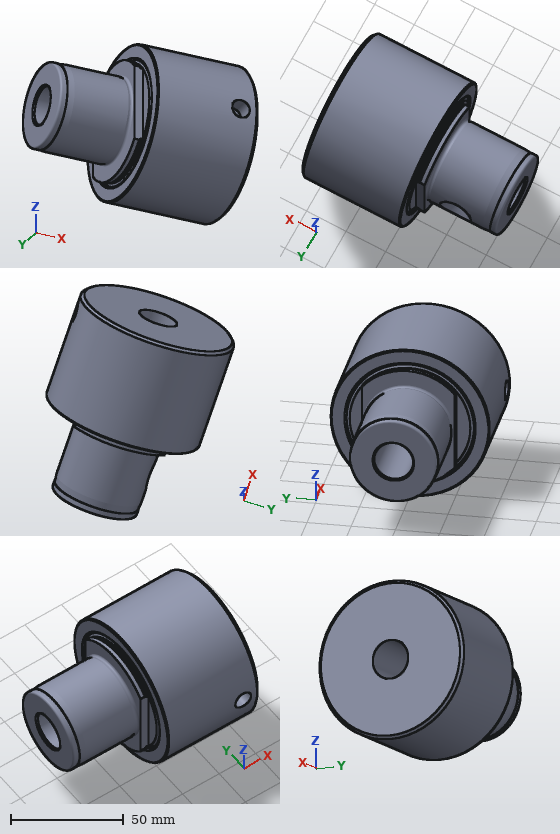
import cadquery as cq

total_length = 90.0
flange_start = 35.6
body_start = 40.0

body_radius = 36.0
flange_radius = 27.8
shank_radius = 20.0
bore_radius = 8.8

nose_radius = 19.8
nose_round = 1.0
land_end = 3.2
lead_in_start_radius = 19.6
lead_in_end = 6.75

shank_relief_start = 33.5
shank_relief_floor = 34.4
shank_relief_radius = 19.7
shank_root_radius = 20.6
root_arc_bias = 0.3

flange_relief_start = 38.1
flange_relief_floor = 39.1
flange_relief_radius = 27.3
face_relief_depth = 0.5
face_relief_inner_radius = 28.8
face_relief_outer_radius = 29.7

front_chamfer = 0.5
rear_chamfer = 1.35
bore_chamfer_width = 0.5
bore_chamfer_length = 0.9

flat_distance = 21.0

seat_x = 20.6
seat_radius = 7.8
seat_depth = seat_radius

pin_hole_x = 81.1
pin_hole_radius = 4.3
pin_hole_depth = 9.0


def make_shank():
    relief_arc_middle = (
        flange_start - root_arc_bias * (flange_start - shank_relief_floor),
        shank_relief_radius + root_arc_bias * (shank_root_radius - shank_relief_radius),
    )
    profile = (
        cq.Workplane("XY")
        .lineTo(0, nose_radius - nose_round)
        .radiusArc((nose_round, nose_radius), nose_round)
        .lineTo(land_end, nose_radius)
        .lineTo(land_end, lead_in_start_radius)
        .lineTo(lead_in_end, shank_radius)
        .lineTo(shank_relief_start, shank_radius)
        .lineTo(shank_relief_floor, shank_relief_radius)
        .threePointArc(relief_arc_middle, (flange_start, shank_root_radius))
        .lineTo(flange_start, 0)
        .close()
    )
    return profile.revolve(360, (0, 0, 0), (1, 0, 0))


def make_flange():
    relief_bottom = body_start + face_relief_depth
    profile = (
        cq.Workplane("XY")
        .moveTo(flange_start, 0)
        .lineTo(flange_start, flange_radius)
        .lineTo(flange_relief_start, flange_radius)
        .lineTo(flange_relief_floor, flange_relief_radius)
        .lineTo(relief_bottom, flange_relief_radius)
        .lineTo(relief_bottom, 0)
        .close()
    )
    flange = profile.revolve(360, (0, 0, 0), (1, 0, 0))
    flats = cq.Workplane("XY").box(
        body_start - flange_start, 2 * flat_distance, 2 * flange_radius, centered=(False, True, True)
    )
    return flange.intersect(flats.translate((flange_start, 0, 0)))


def make_body():
    body = cq.Workplane("YZ", origin=(body_start, 0, 0)).circle(body_radius).extrude(total_length - body_start)
    return body.faces("<X").chamfer(front_chamfer).faces(">X").chamfer(rear_chamfer)


def make_face_relief():
    relief_bottom = body_start + face_relief_depth
    arc_end = (relief_bottom, face_relief_inner_radius)
    profile = (
        cq.Workplane("XY")
        .moveTo(body_start, flange_relief_radius)
        .radiusArc(arc_end, -(face_relief_inner_radius - flange_relief_radius))
        .lineTo(body_start, face_relief_outer_radius)
        .close()
    )
    return profile.revolve(360, (0, 0, 0), (1, 0, 0))


def make_bore():
    mouth_radius = bore_radius + bore_chamfer_width
    profile = (
        cq.Workplane("XY")
        .lineTo(0, mouth_radius)
        .lineTo(bore_chamfer_length, bore_radius)
        .lineTo(total_length, bore_radius)
        .lineTo(total_length, 0)
        .close()
    )
    return profile.revolve(360, (0, 0, 0), (1, 0, 0))


def make_seat():
    surface = cq.Vector(seat_x, shank_radius, 0)
    return cq.Workplane(cq.Solid.makeCone(seat_radius, 0, seat_depth, surface, cq.Vector(0, -1, 0)))


def make_pin_hole():
    surface = cq.Vector(pin_hole_x, -body_radius, 0)
    return cq.Workplane(cq.Solid.makeCylinder(pin_hole_radius, pin_hole_depth, surface, cq.Vector(0, 1, 0)))


result = make_body().cut(make_face_relief()).union(make_flange()).union(make_shank())
result = result.cut(make_bore()).cut(make_seat()).cut(make_pin_hole())